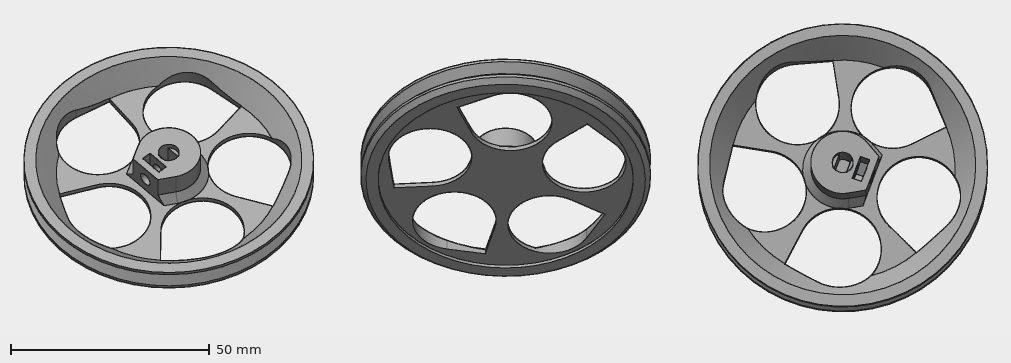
import cadquery as cq
import math

outer_radius = 36.5
rim_height = 7.5
bottom_chamfer = 1.3
rim_band = 0.9
groove_depth = 2.05
groove_height = rim_height - bottom_chamfer - 2 * rim_band
rim_inner_top_radius = 33.5
rim_inner_web_radius = 28.3

web_bottom = 0.95
web_top = 2.25
underside_recess_radius = 32.1
window_count = 5
first_window_angle = -90
window_radius = 10.5
window_center_radius = 20.45
window_tip_distance = 14.4
window_pitch = 360 / window_count

hub_top = 10.5
hub_radius = 8.0
foot_radius = 10.1
foot_top = 4.4
hub_flat_distance = 8.0
hub_side_angle = 30

bore_diameter = 5.25
bore_flat_width = 3.3
bore_round_depth = 1.45
bore_floor = web_top

screw_diameter = 3.5
screw_height = 6.4
nut_width = 6.0
nut_slot_thickness = 2.5
nut_slot_center = 4.9


def make_rim_and_web():
    groove_bottom = bottom_chamfer + rim_band
    profile = [
        (0, web_bottom),
        (underside_recess_radius, web_bottom),
        (underside_recess_radius, 0),
        (outer_radius - bottom_chamfer, 0),
        (outer_radius, bottom_chamfer),
        (outer_radius, groove_bottom),
        (outer_radius - groove_depth, groove_bottom + groove_height / 2),
        (outer_radius, groove_bottom + groove_height),
        (outer_radius, rim_height),
        (rim_inner_top_radius, rim_height),
        (rim_inner_web_radius, web_top),
        (0, web_top),
    ]
    return cq.Workplane("XZ").polyline(profile).close().revolve(360, (0, 0), (0, 1))


def make_window(index):
    """Circle with a tangent corner pointing one window pitch clockwise of its radial direction."""
    touch_angle = math.acos(window_radius / window_tip_distance)
    touch_x = window_radius * math.cos(touch_angle)
    touch_y = window_radius * math.sin(touch_angle)
    angle = first_window_angle + index * window_pitch
    return (
        cq.Workplane("XY")
        .moveTo(window_tip_distance, 0)
        .lineTo(touch_x, touch_y)
        .threePointArc((-window_radius, 0), (touch_x, -touch_y))
        .close()
        .extrude(rim_height)
        .rotate((0, 0, 0), (0, 0, 1), -window_pitch)
        .translate((window_center_radius, 0, 0))
        .rotate((0, 0, 0), (0, 0, 1), angle)
    )


def hub_outline(plane, radius):
    """Arc whose ends run on as tangent lines to the flat side."""
    side = math.radians(hub_side_angle)
    touch_x = radius * math.cos(side)
    touch_y = -radius * math.sin(side)
    corner_x = (radius - hub_flat_distance * math.sin(side)) / math.cos(side)
    return (
        plane.moveTo(-corner_x, -hub_flat_distance)
        .lineTo(-touch_x, touch_y)
        .threePointArc((0, radius), (touch_x, touch_y))
        .lineTo(corner_x, -hub_flat_distance)
        .close()
    )


def make_hub():
    body = hub_outline(cq.Workplane("XY").workplane(offset=web_bottom), hub_radius)
    body = body.extrude(hub_top - web_bottom)
    foot = hub_outline(cq.Workplane("XY").workplane(offset=web_top), foot_radius)
    foot = hub_outline(foot.workplane(offset=foot_top - web_top), hub_radius).loft(ruled=True)
    return body.union(foot)


def make_bore():
    bore_depth = hub_top - bore_floor
    lower = cq.Workplane("XY").workplane(offset=bore_floor).circle(bore_diameter / 2).extrude(bore_depth)
    flats = (
        cq.Workplane("XY")
        .workplane(offset=bore_floor)
        .rect(bore_diameter, bore_flat_width)
        .extrude(bore_depth)
    )
    upper = (
        cq.Workplane("XY")
        .workplane(offset=hub_top - bore_round_depth)
        .circle(bore_diameter / 2)
        .extrude(bore_round_depth)
    )
    return lower.intersect(flats).union(upper)


def make_screw_hole():
    return (
        cq.Workplane("XZ")
        .center(0, screw_height)
        .circle(screw_diameter / 2)
        .extrude(hub_flat_distance)
    )


def make_nut_slot():
    """Slot open at the top, ending below in the two lower faces of an upright hexagon nut."""
    half_width = nut_width / 2
    point_drop = nut_width / math.sqrt(3)
    return (
        cq.Workplane("XZ", origin=(0, -nut_slot_center, 0))
        .moveTo(-half_width, hub_top)
        .lineTo(-half_width, screw_height - point_drop / 2)
        .lineTo(0, screw_height - point_drop)
        .lineTo(half_width, screw_height - point_drop / 2)
        .lineTo(half_width, hub_top)
        .close()
        .extrude(nut_slot_thickness / 2, both=True)
    )


wheel = make_rim_and_web()
for index in range(window_count):
    wheel = wheel.cut(make_window(index))

result = wheel.union(make_hub()).cut(make_bore()).cut(make_screw_hole()).cut(make_nut_slot())